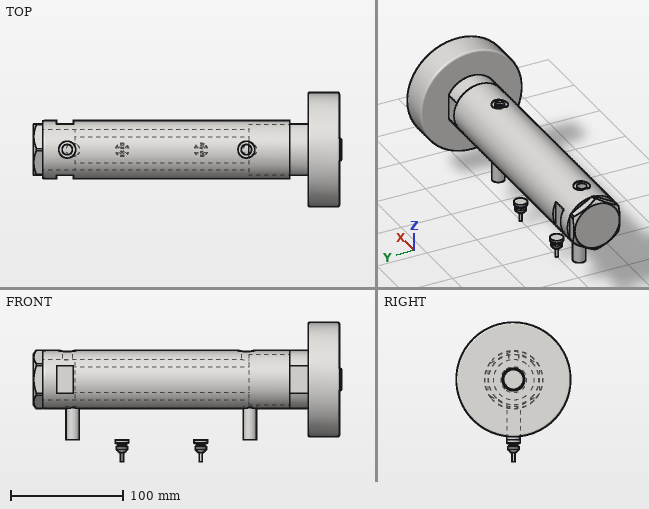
import cadquery as cq
import math


barrel_radius = 26.0
wrench_size = 46.0
cap_length = 8.3
barrel_end = 228.3
barrel_bevel_length = 2.5
barrel_bevel_depth = 0.4

flats_start = 20.8
flats_end = 35.6

cap_face_radius = 22.3
cap_bevel_length = 2.7
cap_spigot_radius = 18.0
cap_spigot_length = 37.0

neck_length = 16.1
disc_start = barrel_end + neck_length
disc_radius = 51.0
disc_length = 28.0
disc_rounding = 2.0
disc_spigot_start = 191.5
disc_spigot_radius = 22.5
rod_radius = 11.5
overall_length = 274.4
overall_height = 124.4
disc_end = disc_start + disc_length
emblem_radius = 10.0
emblem_bevel = 1.2

port_positions = (30.2, 189.6)
port_radius = 4.6
spotface_radius = 7.5
spotface_level = math.sqrt(barrel_radius**2 - spotface_radius**2)

pin_positions = (35.1, 192.6)
pin_radius = 6.0
pin_bottom = -53.7
pin_seat_depth = 2.0
pin_top = -(barrel_radius - pin_seat_depth)

plug_positions = (78.9, 149.0)
plug_top = pin_bottom
plug_bottom = disc_radius - overall_height
plug_head_radius = 6.1
plug_head_height = 2.8
plug_head_bevel = 1.0
plug_neck_radius = 3.7
plug_neck_end = 5.2
plug_collar_radius = 5.1
plug_collar_start = 6.2
plug_collar_end = 8.5
plug_cone_end = 11.4
plug_cone_end_radius = 2.2
plug_stem_radius = 1.4


def rod_along_x(radius, start, end):
    """Cylinder on the X axis between two positions."""
    return cq.Workplane("YZ").workplane(offset=start).circle(radius).extrude(end - start)


def rod_along_z(x, radius, bottom, top):
    """Vertical cylinder at one X position between two heights."""
    return cq.Workplane("XY").workplane(offset=bottom).center(x, 0).circle(radius).extrude(top - bottom)


def turned_end(radius, face_radius, bevel_length, start, end):
    """Cylinder on the X axis with a bevel around its starting face."""
    profile = [
        (start, 0),
        (start, face_radius),
        (start + bevel_length, radius),
        (end, radius),
        (end, 0),
    ]
    return cq.Workplane("XY").polyline(profile).close().revolve(360, (0, 0), (1, 0))


def beside_flats(start, end):
    """Material outside the two wrench flats over a stretch of the X axis."""
    length = end - start
    blank = cq.Workplane("XY").box(length, 4 * barrel_radius, 4 * barrel_radius)
    middle = cq.Workplane("XY").box(length, wrench_size, 4 * barrel_radius)
    return blank.cut(middle).translate((start + length / 2, 0, 0))


def make_housing():
    housing = turned_end(
        barrel_radius, barrel_radius - barrel_bevel_depth, barrel_bevel_length, cap_length, barrel_end
    )
    housing = housing.cut(beside_flats(flats_start, flats_end))

    housing = housing.cut(rod_along_x(cap_spigot_radius, cap_length, disc_spigot_start))
    housing = housing.cut(rod_along_x(disc_spigot_radius, disc_spigot_start, barrel_end))

    for x in port_positions:
        housing = housing.cut(rod_along_z(x, port_radius, 0, barrel_radius))
        housing = housing.cut(rod_along_z(x, spotface_radius, spotface_level, barrel_radius))
    for x in pin_positions:
        housing = housing.cut(rod_along_z(x, pin_radius, pin_bottom, pin_top))
    return housing


def make_cap():
    corner_diameter = wrench_size / math.cos(math.pi / 6)
    hexagon = cq.Workplane("YZ").polygon(6, corner_diameter).extrude(cap_length)
    hexagon = hexagon.rotate((0, 0, 0), (1, 0, 0), 90)
    envelope = turned_end(barrel_radius, cap_face_radius, cap_bevel_length, 0, cap_length)
    spigot = rod_along_x(cap_spigot_radius, cap_length, cap_spigot_length)
    return hexagon.intersect(envelope).union(spigot)


def make_disc():
    disc = rod_along_x(disc_radius, disc_start, disc_end).edges().fillet(disc_rounding)
    emblem = rod_along_x(emblem_radius, disc_end, overall_length).faces(">X").chamfer(emblem_bevel)
    neck = rod_along_x(barrel_radius, barrel_end, disc_start).cut(beside_flats(barrel_end, disc_start))
    spigot = rod_along_x(disc_spigot_radius, disc_spigot_start, barrel_end)
    rod = rod_along_x(rod_radius, cap_spigot_length, disc_spigot_start)
    return disc.union(emblem).union(neck).union(spigot).union(rod)


def make_pin(x):
    return rod_along_z(x, pin_radius, pin_bottom, pin_top)


def make_plug(x):
    profile = [
        (0, 0),
        (plug_head_radius, 0),
        (plug_head_radius, plug_head_height),
        (plug_neck_radius, plug_head_height + plug_head_bevel),
        (plug_neck_radius, plug_neck_end),
        (plug_collar_radius, plug_collar_start),
        (plug_collar_radius, plug_collar_end),
        (plug_cone_end_radius, plug_cone_end),
        (plug_stem_radius, plug_cone_end),
        (plug_stem_radius, plug_top - plug_bottom),
        (0, plug_top - plug_bottom),
    ]
    outline = [(radius, -depth) for radius, depth in profile]
    plug = cq.Workplane("XZ").polyline(outline).close().revolve(360, (0, 0), (0, 1))
    return plug.translate((x, 0, plug_top))


housing = make_housing()
cap = make_cap()
disc = make_disc()
pins = [make_pin(x).val() for x in pin_positions]
plugs = [make_plug(x).val() for x in plug_positions]

result = cq.Compound.makeCompound([housing.val(), cap.val(), disc.val(), *pins, *plugs])